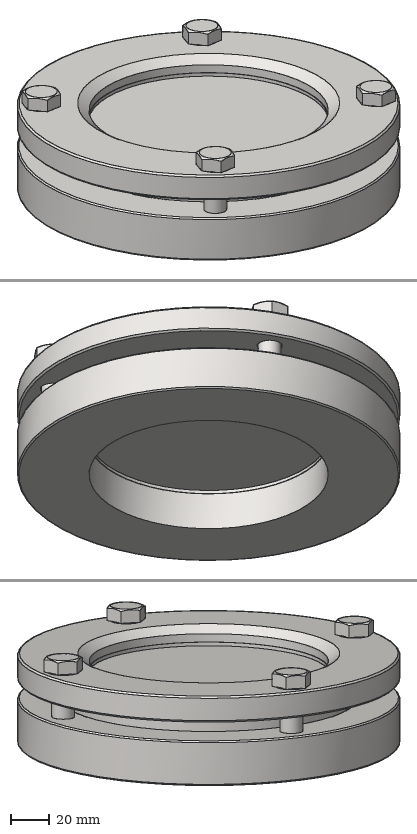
import cadquery as cq
import math

flange_diameter = 200
base_thickness = 24
cover_thickness = 14
flange_gap = 10
cover_rim_chamfer = 1
base_rim_chamfer = 0.8
bore_diameter = 125
flare_diameter = 137
flare_depth = 4
recess_diameter = 155
cover_recess_depth = 5.5

glass_diameter = 150
glass_thickness = 15
gasket_outer_diameter = 152
gasket_inner_diameter = 125.5
gasket_thickness = 2

bolt_count = 4
bolt_circle_diameter = 175
first_bolt_angle = 45
shank_diameter = 12
clearance_diameter = 13
thread_core_diameter = 10.11
thread_depth = 16
head_sides = 6
head_across_flats = 18
head_height = 8
washer_face_diameter = 16.4
washer_face_height = 0.6
head_top_diameter = 16.6
head_chamfer_angle = 25

cover_bottom = base_thickness + flange_gap
cover_top = cover_bottom + cover_thickness
upper_gasket_top = cover_bottom + cover_recess_depth
glass_top = upper_gasket_top - gasket_thickness
glass_bottom = glass_top - glass_thickness
lower_gasket_bottom = glass_bottom - gasket_thickness
base_recess_depth = base_thickness - lower_gasket_bottom


def disc(diameter, bottom, height):
    """Cylinder on the main axis, standing on the given level."""
    return cq.Workplane("XY").workplane(offset=bottom).circle(diameter / 2).extrude(height)


def at_bolts(level):
    """Workplane with one point per bolt at the given level."""
    return (
        cq.Workplane("XY")
        .workplane(offset=level)
        .polarArray(bolt_circle_diameter / 2, first_bolt_angle, 360, bolt_count, rotate=False)
    )


def make_base():
    """Lower flange with a glass recess, a through bore and bolt holes."""
    body = disc(flange_diameter, 0, base_thickness).edges().chamfer(base_rim_chamfer)
    body = body.cut(disc(bore_diameter, 0, base_thickness))
    body = body.cut(disc(recess_diameter, lower_gasket_bottom, base_recess_depth))
    bolt_holes = at_bolts(base_thickness).circle(thread_core_diameter / 2).extrude(-thread_depth)
    return body.cut(bolt_holes)


def make_cover():
    """Upper flange with a glass recess below and a flared sight opening above."""
    body = disc(flange_diameter, cover_bottom, cover_thickness).edges().chamfer(cover_rim_chamfer)
    body = body.cut(disc(bore_diameter, cover_bottom, cover_thickness))
    body = body.cut(disc(recess_diameter, cover_bottom, cover_recess_depth))
    flare = (
        cq.Workplane("XY")
        .workplane(offset=cover_top - flare_depth)
        .circle(bore_diameter / 2)
        .workplane(offset=flare_depth)
        .circle(flare_diameter / 2)
        .loft(ruled=True)
    )
    bolt_holes = at_bolts(cover_bottom).circle(clearance_diameter / 2).extrude(cover_thickness)
    return body.cut(flare).cut(bolt_holes)


def make_glass():
    """Round sight glass clamped between the gaskets."""
    return disc(glass_diameter, glass_bottom, glass_thickness)


def make_gasket(bottom):
    """Flat ring gasket lying on the given level."""
    ring = disc(gasket_outer_diameter, bottom, gasket_thickness)
    return ring.cut(disc(gasket_inner_diameter, bottom, gasket_thickness))


def make_bolt():
    """Hexagon bolt on the main axis, head resting on the cover."""
    hexagon_bottom = cover_top + washer_face_height
    head_top = cover_top + head_height
    head_corner_diameter = head_across_flats / math.cos(math.pi / head_sides)
    head = (
        cq.Workplane("XY")
        .workplane(offset=hexagon_bottom)
        .polygon(head_sides, head_corner_diameter)
        .extrude(head_top - hexagon_bottom)
        .rotate((0, 0, 0), (0, 0, 1), 180 / head_sides)
    )
    envelope_radius = head_corner_diameter / 2
    bevel_drop = (envelope_radius - head_top_diameter / 2) * math.tan(math.radians(head_chamfer_angle))
    envelope = (
        cq.Workplane("XZ")
        .moveTo(0, hexagon_bottom)
        .lineTo(envelope_radius, hexagon_bottom)
        .lineTo(envelope_radius, head_top - bevel_drop)
        .lineTo(head_top_diameter / 2, head_top)
        .lineTo(0, head_top)
        .close()
        .revolve(360, (0, 0, 0), (0, 1, 0))
    )
    washer_face = disc(washer_face_diameter, cover_top, washer_face_height)
    shank = disc(shank_diameter, base_thickness, cover_top - base_thickness)
    thread_core = disc(thread_core_diameter, base_thickness - thread_depth, thread_depth)
    return head.intersect(envelope).union(washer_face).union(shank).union(thread_core)


def make_bolts():
    """One bolt per position on the bolt circle, all turned the same way."""
    bolt = make_bolt().val()
    return at_bolts(0).eachpoint(lambda place: bolt.moved(place))


base = make_base()
cover = make_cover()
glass = make_glass()
lower_gasket = make_gasket(lower_gasket_bottom)
upper_gasket = make_gasket(glass_top)
bolts = make_bolts()

result = cq.Compound.makeCompound(
    [base.val(), cover.val(), glass.val(), lower_gasket.val(), upper_gasket.val(), *bolts.vals()]
)